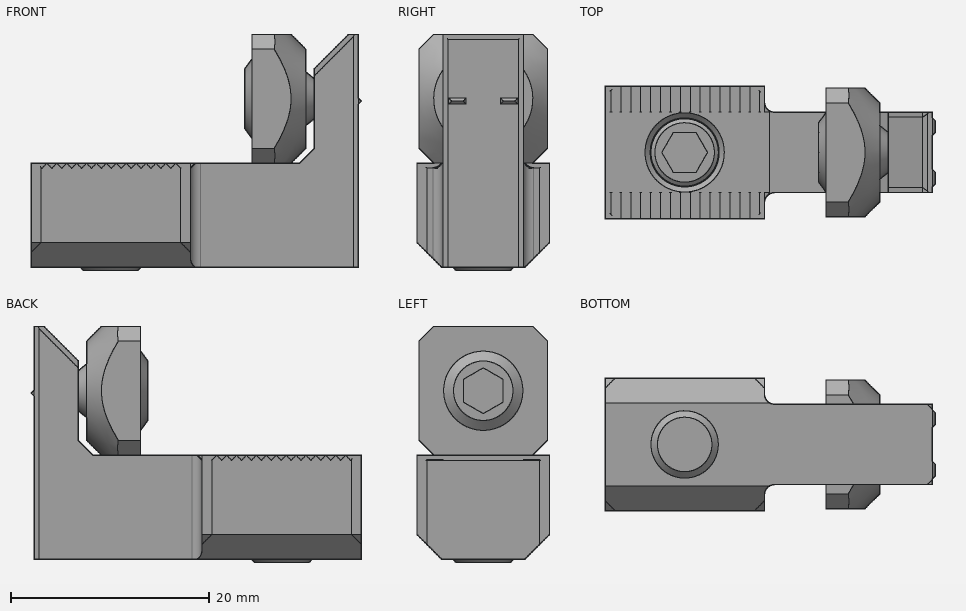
import cadquery as cq
import math


OVERALL_LENGTH = 33.3

FOOT_LENGTH = 16.1
FOOT_WIDTH = 13.4
FOOT_HEIGHT = 10.5
FOOT_BEVEL = 2.5
ARM_WIDTH = 8.13
ARM_FILLET = 1.0
UPRIGHT_X = 28.55
UPRIGHT_BACK_X = 33.0
UPRIGHT_CREST = 1.0
UPRIGHT_SLOPE = UPRIGHT_BACK_X - UPRIGHT_CREST - UPRIGHT_X
GUSSET = 1.5

JACKET = 0.015
FOOT_CHAMFER = 1.0
UPRIGHT_CHAMFER = 0.5
TOOTH_PITCH = 1.0
TOOTH_DEPTH = TOOTH_PITCH / 2
TOOTH_COUNT = 17
FIRST_VALLEY_X = 0.1
FILLET_NOTCH = 0.43

RIDGE_HEIGHT = OVERALL_LENGTH - UPRIGHT_BACK_X
RIDGE_LENGTH = 1.75
RIDGE_Y = 2.6
RIDGE_Z = 16.75

CLAMP_SIZE = 13.0
CLAMP_CORNER = 1.5
CLAMP_FRONT_X = 22.25
CLAMP_BACK_X = 27.7
CLAMP_BACK_DIAMETER = 10.0
CLAMP_CENTRE_Z = FOOT_HEIGHT + CLAMP_SIZE / 2
BRACKET_TOP = FOOT_HEIGHT + CLAMP_SIZE

SOCKET_END_DIAMETER = 6.0
SOCKET_END_SLOPE = 0.73
SOCKET_FLATS = 4.0
SOCKET_DEPTH = 4.0

CLAMP_SCREW_DIAMETER = 8.0
CLAMP_SCREW_TIP_DIAMETER = 4.05
CLAMP_SCREW_TIP_LENGTH = 2.43
CLAMP_SCREW_END_X = CLAMP_FRONT_X - SOCKET_END_SLOPE * (CLAMP_SCREW_DIAMETER - SOCKET_END_DIAMETER) / 2

FOOT_SCREW_DIAMETER = 6.8
FOOT_SCREW_TIP_DIAMETER = 5.5
FOOT_SCREW_X = 8.03
FOOT_SCREW_RECESS = 0.8
FOOT_SCREW_PROTRUSION = 0.33
COUNTERSINK_DIAMETER = 8.0


def prism(plane, outline, width, inset=0):
    """Extrude an outline, moved in by `inset`, symmetrically about its plane."""
    sketch = cq.Workplane(plane).polyline(outline).close()
    if inset:
        sketch = sketch.offset2D(-inset, "intersection")
    return sketch.extrude(width / 2, both=True)


def centred_box(x_start, x_end, width, z_start, z_end):
    """Box that is symmetric about the XZ plane."""
    box = cq.Workplane("XY").box(x_end - x_start, width, z_end - z_start, centered=(False, True, False))
    return box.translate((x_start, 0, z_start))


def turned(profile):
    """Turn a profile of (radius, height) points about the Z axis."""
    return cq.Workplane("XZ").polyline(profile).close().revolve(360, (0, 0), (0, 1))


def foot_blank(inset, corner_chamfer):
    """Foot with the start of the arm: filleted plan and bevelled underside."""
    top = FOOT_HEIGHT - inset
    foot = centred_box(inset, FOOT_LENGTH - inset, FOOT_WIDTH - 2 * inset, inset, top)
    if corner_chamfer:
        foot = foot.edges("|Z").chamfer(corner_chamfer)
    arm_start = centred_box(inset, FOOT_LENGTH + 2 * ARM_FILLET, ARM_WIDTH - 2 * inset, inset, top)

    half_arm = ARM_WIDTH / 2
    inner_corners = cq.selectors.BoxSelector(
        (FOOT_LENGTH - ARM_FILLET, -half_arm - ARM_FILLET, 0),
        (FOOT_LENGTH + ARM_FILLET, half_arm + ARM_FILLET, FOOT_HEIGHT),
    )
    plan = foot.union(arm_start).edges("|Z").edges(inner_corners).fillet(ARM_FILLET)

    half_foot = FOOT_WIDTH / 2
    section = [
        (-half_foot, FOOT_HEIGHT),
        (-half_foot, FOOT_BEVEL),
        (FOOT_BEVEL - half_foot, 0),
        (half_foot - FOOT_BEVEL, 0),
        (half_foot, FOOT_BEVEL),
        (half_foot, FOOT_HEIGHT),
    ]
    return plan.intersect(prism("YZ", section, 3 * FOOT_LENGTH, inset))


def slope_side_cutter(inset, chamfer):
    """Two wedges that chamfer the sides of the upright's slope."""
    half_width = ARM_WIDTH / 2 - inset
    slope_plane = cq.Plane(
        origin=(UPRIGHT_X, 0, BRACKET_TOP - UPRIGHT_SLOPE),
        xDir=(0, 1, 0),
        normal=(1, 0, 1),
    )
    wedge = [
        (half_width - chamfer, -inset),
        (half_width, -inset),
        (half_width, -inset - chamfer),
    ]
    cutter = cq.Workplane(slope_plane).polyline(wedge).close().extrude(2 * UPRIGHT_SLOPE, both=True)
    return cutter.union(cutter.mirror("XZ"))


def upright_blank(inset, chamfer):
    """Arm and upright, with the slope's sides and the back edges chamfered."""
    crest_x = UPRIGHT_BACK_X - UPRIGHT_CREST
    slope_z = BRACKET_TOP - UPRIGHT_SLOPE
    outline = [
        (FOOT_LENGTH, 0),
        (UPRIGHT_BACK_X, 0),
        (UPRIGHT_BACK_X, BRACKET_TOP),
        (crest_x, BRACKET_TOP),
        (UPRIGHT_X, slope_z),
        (UPRIGHT_X, FOOT_HEIGHT + GUSSET),
        (UPRIGHT_X - GUSSET, FOOT_HEIGHT),
        (FOOT_LENGTH, FOOT_HEIGHT),
    ]
    upright = prism("XZ", outline, ARM_WIDTH - 2 * inset, inset)
    if chamfer:
        upright = upright.faces(">X").edges("|Z or >Z").chamfer(chamfer)
        upright = upright.cut(slope_side_cutter(inset, chamfer))
    return upright


def bracket_blank(inset=0, foot_chamfer=0, upright_chamfer=0):
    """Whole bracket, with every outer face moved in by `inset`."""
    return foot_blank(inset, foot_chamfer).union(upright_blank(inset, upright_chamfer))


def tooth_cutter():
    """V grooves along both sides of the foot top, and a flat at their depth between them."""
    top = FOOT_HEIGHT - JACKET
    valley_z = top - TOOTH_DEPTH
    last_valley_x = FIRST_VALLEY_X + (TOOTH_COUNT - 1) * TOOTH_PITCH
    flat = [
        (0, top),
        (0, valley_z),
        (last_valley_x, valley_z),
        (last_valley_x + TOOTH_DEPTH, top),
    ]
    zigzag = [(FIRST_VALLEY_X - TOOTH_DEPTH, top)]
    for index in range(TOOTH_COUNT):
        x = FIRST_VALLEY_X + index * TOOTH_PITCH
        zigzag += [(x, valley_z), (x + TOOTH_DEPTH, top)]
    zigzag += [
        (last_valley_x + TOOTH_DEPTH, FOOT_HEIGHT),
        (FIRST_VALLEY_X - TOOTH_DEPTH, FOOT_HEIGHT),
    ]
    return prism("XZ", zigzag, FOOT_WIDTH).union(prism("XZ", flat, ARM_WIDTH))


def fillet_notch():
    """Sloped cut that takes off the top of the fillets beside the arm."""
    wedge = [
        (FOOT_LENGTH, FOOT_HEIGHT),
        (FOOT_LENGTH, FOOT_HEIGHT - FILLET_NOTCH),
        (FOOT_LENGTH + FILLET_NOTCH, FOOT_HEIGHT),
    ]
    arm = centred_box(0, UPRIGHT_X, ARM_WIDTH, 0, FOOT_HEIGHT)
    return prism("XZ", wedge, FOOT_WIDTH).cut(arm)


def foot_screw_hole():
    """Through hole for the foot screw, countersunk at the top."""
    radius = FOOT_SCREW_DIAMETER / 2
    sink_radius = COUNTERSINK_DIAMETER / 2
    hole = turned([
        (0, 0),
        (radius, 0),
        (radius, FOOT_HEIGHT - (sink_radius - radius)),
        (sink_radius, FOOT_HEIGHT),
        (0, FOOT_HEIGHT),
    ])
    return hole.translate((FOOT_SCREW_X, 0, 0))


def ridge(y):
    """Pointed ridge across the back of the upright, sloping at 45 degrees on all sides."""
    crest_x = UPRIGHT_BACK_X + RIDGE_HEIGHT
    half_length = RIDGE_LENGTH / 2
    half_crest = half_length - RIDGE_HEIGHT
    section = [
        (UPRIGHT_BACK_X, -RIDGE_HEIGHT),
        (crest_x, 0),
        (UPRIGHT_BACK_X, RIDGE_HEIGHT),
    ]
    plan = [
        (UPRIGHT_BACK_X, -half_length),
        (crest_x, -half_crest),
        (crest_x, half_crest),
        (UPRIGHT_BACK_X, half_length),
    ]
    body = prism("XZ", section, RIDGE_LENGTH).intersect(prism("XY", plan, 2 * RIDGE_HEIGHT))
    return body.translate((0, y, RIDGE_Z))


def screw_body(diameter, length, tip_profile):
    """Screw about the Z axis without its socket, coned end face at Z = 0, ending in `tip_profile`."""
    radius = diameter / 2
    end_radius = SOCKET_END_DIAMETER / 2
    cone_height = SOCKET_END_SLOPE * (radius - end_radius)
    return turned([(0, 0), (end_radius, 0), (radius, -cone_height), *tip_profile, (0, -length)])


def hex_socket():
    """Hexagon socket, from Z = 0 down."""
    across_corners = SOCKET_FLATS / math.cos(math.pi / 6)
    return cq.Workplane("XY").polygon(6, across_corners).extrude(-SOCKET_DEPTH)


def make_core():
    """Serrated and chamfered inner bracket."""
    core = bracket_blank(JACKET, FOOT_CHAMFER, UPRIGHT_CHAMFER)
    return core.cut(tooth_cutter()).cut(foot_screw_hole())


def make_jacket(core):
    """Thin skin around the core, with two ridges on the back."""
    jacket = bracket_blank().cut(fillet_notch()).cut(foot_screw_hole()).cut(core)
    for y in (-RIDGE_Y, RIDGE_Y):
        jacket = jacket.union(ridge(y))
    return jacket


def make_foot_screw():
    """Upright set screw whose coned tip stands out below the foot."""
    top = FOOT_HEIGHT - FOOT_SCREW_RECESS
    length = top + FOOT_SCREW_PROTRUSION
    radius = FOOT_SCREW_DIAMETER / 2
    tip_radius = FOOT_SCREW_TIP_DIAMETER / 2
    tip = [(radius, radius - tip_radius - length), (tip_radius, -length)]
    screw = screw_body(FOOT_SCREW_DIAMETER, length, tip).cut(hex_socket())
    return screw.translate((FOOT_SCREW_X, 0, top))


def clamp_screw_body():
    """Clamp screw before it is turned level, without its socket."""
    radius = CLAMP_SCREW_DIAMETER / 2
    length = UPRIGHT_X - CLAMP_SCREW_END_X
    tip = [(radius, CLAMP_SCREW_TIP_LENGTH - length), (CLAMP_SCREW_TIP_DIAMETER / 2, -length)]
    return screw_body(CLAMP_SCREW_DIAMETER, length, tip)


def laid_on_clamp_axis(screw):
    """Lay an upright screw on the axis of the clamp, its end face toward -X."""
    level = screw.rotate((0, 0, 0), (0, 1, 0), -90)
    return level.translate((CLAMP_SCREW_END_X, 0, CLAMP_CENTRE_Z))


def make_clamp_screw():
    """Level set screw that bears on the upright with a coned tip."""
    return laid_on_clamp_axis(clamp_screw_body().cut(hex_socket()))


def make_clamp():
    """Square plate with cut corners, coned at the back, with a hole that fits the screw."""
    thickness = CLAMP_BACK_X - CLAMP_FRONT_X
    back_radius = CLAMP_BACK_DIAMETER / 2
    plate = (
        cq.Workplane("XY")
        .rect(CLAMP_SIZE, CLAMP_SIZE)
        .extrude(thickness)
        .edges("|Z")
        .chamfer(CLAMP_CORNER)
    )
    back_cone = turned([
        (0, 0),
        (back_radius + thickness, 0),
        (back_radius, thickness),
        (0, thickness),
    ])
    clamp = plate.intersect(back_cone).rotate((0, 0, 0), (0, 1, 0), 90)
    clamp = clamp.translate((CLAMP_FRONT_X, 0, CLAMP_CENTRE_Z))
    return clamp.cut(laid_on_clamp_axis(clamp_screw_body()))


core = make_core()
jacket = make_jacket(core)
foot_screw = make_foot_screw()
clamp_screw = make_clamp_screw()
clamp = make_clamp()

result = cq.Compound.makeCompound([
    core.val(),
    jacket.val(),
    foot_screw.val(),
    clamp_screw.val(),
    clamp.val(),
])